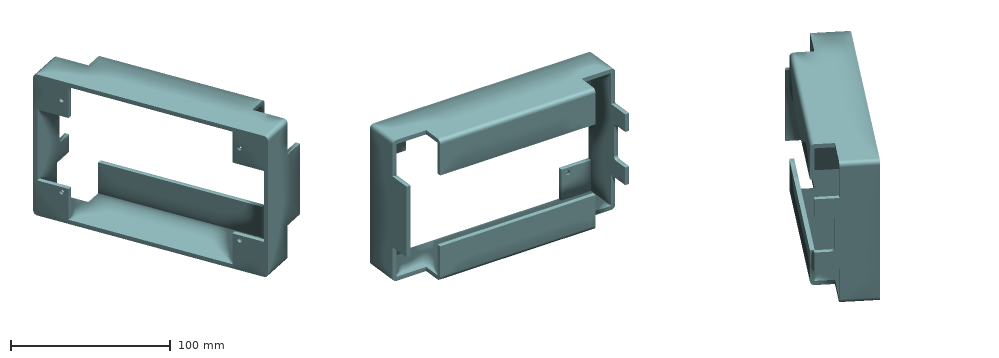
import cadquery as cq

length = 167.5
depth = 41.4
height = 101.3
wall = 3.0
edge_radius = wall

window_height = 50.9
corner_width = 25.3
notch_depth = 15.7

slot_depth = 12.7
slot_height = 25.6
slot_radius = 2.5

hole_diameter = 3.2
hole_x = 63.5
upper_hole_z = 37.0
lower_hole_z = -29.1

front_y = -depth / 2
rear_y = depth / 2
inner_length = length - 2 * wall
inner_height = height - 2 * wall
middle_length = length - 2 * corner_width
corner_height = (height - window_height) / 2


def block(x_size, y_size, z_size, y_start):
    """Box centred in X and Z that extends from y_start toward +Y."""
    return (
        cq.Workplane("XY")
        .box(x_size, y_size, z_size, centered=(True, False, True))
        .translate((0, y_start, 0))
    )


def outer_shell():
    """Solid envelope with rounded side corners and rounded rear long edges."""
    envelope = block(length, depth, height, front_y).edges("|Y").fillet(edge_radius)
    rear_rounding = block(length, depth, height, front_y).edges(">Y and |X").fillet(edge_radius)
    return envelope.intersect(rear_rounding)


def interior():
    """Cavity, window through both faces, and front gap between corner plates."""
    cavity = block(inner_length, depth - 2 * wall, inner_height, front_y + wall)
    window = block(inner_length, depth, window_height, front_y)
    front_gap = block(middle_length, wall, inner_height, front_y)
    return cavity.union(window).union(front_gap)


def rear_notches():
    """Four rear corner cuts that leave side tabs and the long rear lips."""
    notches = cq.Workplane("XY")
    x_center = (length - corner_width) / 2
    z_center = (height - corner_height) / 2
    for x_side in (-1, 1):
        for z_side in (-1, 1):
            notch = block(corner_width, notch_depth, corner_height, rear_y - notch_depth)
            notches = notches.add(notch.translate((x_side * x_center, 0, z_side * z_center)))
    return notches.combine()


def cable_slot():
    """Slot through the -X wall with rounded inner corners, open to the rear."""
    slot = block(wall, slot_depth, slot_height, rear_y - slot_depth)
    slot = slot.edges("|X and <Y").fillet(slot_radius)
    return slot.translate((-(length - wall) / 2, 0, 0))


def screw_holes():
    """Holes through the four front corner plates."""
    centers = [(x, z) for x in (-hole_x, hole_x) for z in (lower_hole_z, upper_hole_z)]
    return (
        cq.Workplane("XZ", origin=(0, front_y, 0))
        .pushPoints(centers)
        .circle(hole_diameter / 2)
        .extrude(-wall)
    )


result = (
    outer_shell()
    .cut(interior())
    .cut(rear_notches())
    .cut(cable_slot())
    .cut(screw_holes())
)